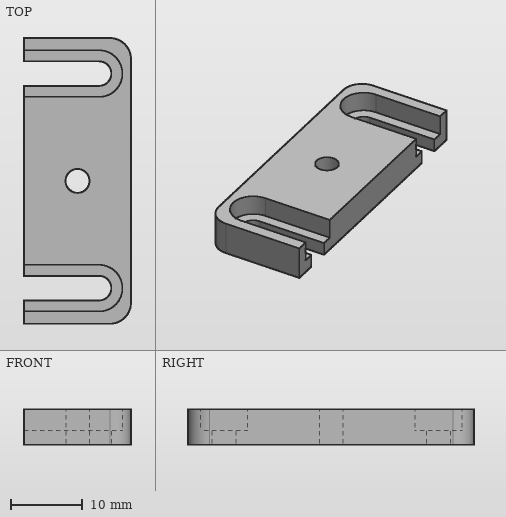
import cadquery as cq

length = 40.0
width = 15.0
thickness = 5.0
corner_radius = 3.0

slot_spacing = 30.0
slot_reach = 10.5
head_slot_width = 6.5
head_slot_depth = 3.0
shank_slot_width = 3.4

center_hole_diameter = 3.3

open_side_x = -width / 2


def open_slot(center_y, slot_width, depth):
    """Round-ended slot running in from the -X side, cut down from the top face."""
    radius = slot_width / 2
    end_x = open_side_x + slot_reach
    return (
        cq.Workplane("XY", origin=(0, 0, thickness - depth))
        .moveTo(open_side_x, center_y - radius)
        .lineTo(end_x, center_y - radius)
        .threePointArc((end_x + radius, center_y), (end_x, center_y + radius))
        .lineTo(open_side_x, center_y + radius)
        .close()
        .extrude(depth)
    )


plate = (
    cq.Workplane("XY")
    .box(width, length, thickness, centered=(True, True, False))
    .edges("|Z and >X")
    .fillet(corner_radius)
)

plate = plate.faces(">Z").workplane(origin=(0, 0, thickness)).hole(center_hole_diameter)

for slot_y in (-slot_spacing / 2, slot_spacing / 2):
    plate = plate.cut(open_slot(slot_y, head_slot_width, head_slot_depth))
    plate = plate.cut(open_slot(slot_y, shank_slot_width, thickness))

result = plate